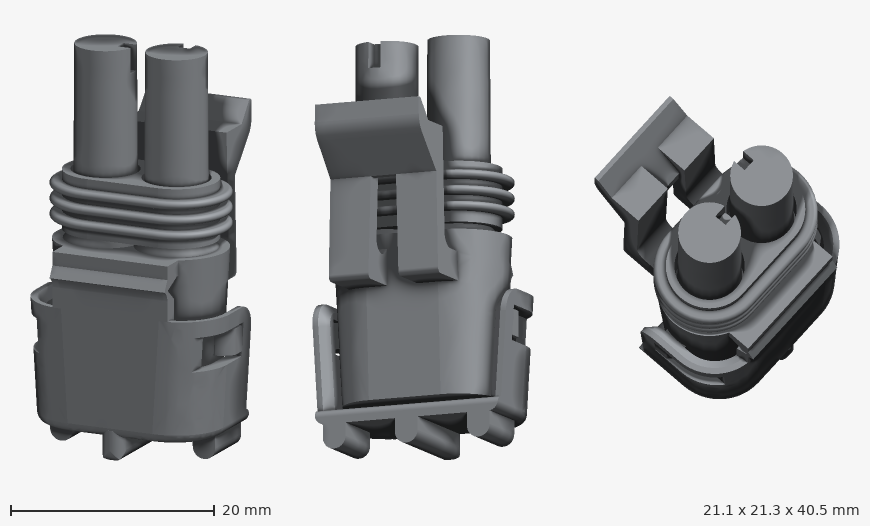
import cadquery as cq

TOTAL_HEIGHT = 40.5
TOWER_X = 3.85
TOWER_TOP_RADIUS = 3.08
TOWER_BASE_RADIUS = 3.2
KEYWAY_WIDTH = 1.35
KEYWAY_OFFSET = 1.6
KEYWAY_DEPTH = 2.65

BODY_TOP_Z = 20.75
BODY_BOTTOM_Z = 4.45
BODY_TOP_RADIUS = 5.25
BODY_BOTTOM_RADIUS = 4.37
CONE_BASE_RADIUS = 4.2
CONE_HEIGHT = 1.15

SEAL_BOTTOM_Z = 21.62
SEAL_HEIGHT = 6.07
SEAL_RADIUS = 4.3
SEAL_HOLE_RADIUS = 3.45
RIB_RADIUS = 5.5
RIB_THICKNESS = 0.8
RIB_COUNT = 3
RIB_PITCH = 1.58
FIRST_RIB_Z = 23.1

LATCH_BOTTOM_Z = 15.6
LATCH_TIP_Y = 13.52
LATCH_TIP_Z = 32.47
LATCH_TIP_FLAT = 0.5
LATCH_SHOULDER_Y = 11.25
LATCH_SHOULDER_Z = 30.5
ARM_INNER_Y = 7.77
ARM_OUTER_Y = 9.5
ARM_SLOPE_Z = 25.7
ARM_ROOT_Y = 2.02
GROOVE_RADIUS = 1.38
GROOVE_CENTER_Z = 19.9
LATCH_HEEL_ROUND = 0.55
GROOVE_ROUND_HALF_WIDTH = 4.0
LATCH_CHIN_ROUND = 2.43
LATCH_BOTTOM_HALF_WIDTH = 5.87
LATCH_TOP_HALF_WIDTH = 5.55
LATCH_GAP_BOTTOM_HALF_WIDTH = 1.6
LATCH_GAP_TOP_HALF_WIDTH = 1.17
BRIDGE_INNER_Y = 8.5

FRONT_Y = -7.15
RIM_Z = 15.05
CUP_BOTTOM_Z = 2.5
FLOOR_Z = 3.95
CUP_TOP_HALF_WIDTH = 10.53
CUP_BOTTOM_HALF_WIDTH = 9.75
SIDE_TAPER = (CUP_TOP_HALF_WIDTH - CUP_BOTTOM_HALF_WIDTH) / (RIM_Z - CUP_BOTTOM_Z)
CUP_CORNER_RADIUS = 5.22
CUP_WALL = 1.5
RIM_WALL = 0.6
EDGE_TOLERANCE = 0.01
CUP_BACK_Y = 3.28
LIP_BACK_Y = 4.0
LIP_ROUND = LIP_BACK_Y - CUP_BACK_Y
RIM_BACK_RADIUS = 2.5
ARCH_Z = RIM_Z - RIM_BACK_RADIUS
CUP_BOTTOM_FILLET = 0.97

HINGE_Z = 18.22
HINGE_TIP_Y = -7.8
HINGE_THIN_Y = -7.1
HINGE_HALF_HEIGHT = 1.15
HINGE_HALF_WIDTH = 6.25
HINGE_SAG = 0.15
HINGE_TIP_DEPTH = 0.9
FLAP_ROOT_INSET = 0.12
SHELF_ROOT_Y = -5.02
SHELF_BOTTOM_Z = 19.15

WINDOW_BOTTOM_Z = 9.88
WINDOW_TOP_Z = 13.4
WINDOW_BACK_Y = 1.45
WINDOW_FRONT_Y = -6.1
WINDOW_FLOOR_X = 8.4
SNAP_BOTTOM_Z = 10.4
SNAP_TOP_Z = 13.05
SNAP_X = 10.25
SNAP_FRONT_Y = -1.15
SNAP_CURVE_X = 8.55
SNAP_CURVE_RADIUS = 2.9

FOOT_WIDTH = 2.43
FOOT_X = 7.75
FOOT_ROUND = 1.17

SIDES = (-1, 1)
FAR = 24.3


def stadium(radius, z):
    """Flat outline around both tower axes."""
    return cq.Workplane("XY").workplane(offset=z).slot2D(2 * (TOWER_X + radius), 2 * radius)


def box(x_min, x_max, y_min, y_max, z_min, z_max):
    size = (x_max - x_min, y_max - y_min, z_max - z_min)
    return cq.Workplane("XY").box(*size, centered=False).translate((x_min, y_min, z_min))


def mirrored(shape, side):
    """The shape itself for the +X side, or its mirror image for the -X side."""
    return shape if side > 0 else shape.mirror("YZ")


def across(profile, half_width):
    """Extrude a Y-Z profile to both sides of the middle plane."""
    return profile.extrude(half_width, both=True)



def housing_body():
    lower = stadium(BODY_BOTTOM_RADIUS, BODY_BOTTOM_Z).wires().val()
    upper = stadium(BODY_TOP_RADIUS, BODY_TOP_Z).wires().val()
    return cq.Workplane(cq.Solid.makeLoft([lower, upper], True))


def tower(x, keyway_angle):
    """A slightly tapered tower on a cone, with a keyway in its tip."""
    profile = [
        (0, BODY_TOP_Z),
        (CONE_BASE_RADIUS, BODY_TOP_Z),
        (TOWER_BASE_RADIUS, BODY_TOP_Z + CONE_HEIGHT),
        (TOWER_TOP_RADIUS, TOTAL_HEIGHT),
        (0, TOTAL_HEIGHT),
    ]
    post = cq.Workplane("XZ").polyline(profile).close().revolve(360, (0, 0, 0), (0, 1, 0))
    keyway = box(
        KEYWAY_OFFSET, FAR, -KEYWAY_WIDTH / 2, KEYWAY_WIDTH / 2, TOTAL_HEIGHT - KEYWAY_DEPTH, TOTAL_HEIGHT
    ).rotate((0, 0, 0), (0, 0, 1), keyway_angle)
    return post.cut(keyway).translate((x, 0, 0))


def trapezoid_along_y(bottom_half_width, top_half_width):
    """A long prism along Y whose width changes over the height of the latch."""
    return (
        cq.Workplane("XZ")
        .polyline([
            (-bottom_half_width, LATCH_BOTTOM_Z),
            (bottom_half_width, LATCH_BOTTOM_Z),
            (top_half_width, LATCH_TIP_Z),
            (-top_half_width, LATCH_TIP_Z),
        ])
        .close()
        .extrude(-FAR)
    )


def latch():
    """Two hooked arms joined by a sloping bridge at the thumb tab."""
    groove_y = ARM_INNER_Y - GROOVE_RADIUS
    chin_z = ARM_SLOPE_Z + LATCH_TIP_Y - ARM_OUTER_Y
    tip_flat_y = LATCH_TIP_Y - LATCH_TIP_FLAT
    slope = (LATCH_TIP_Z - LATCH_SHOULDER_Z) / (tip_flat_y - LATCH_SHOULDER_Y)
    bridge_z = LATCH_SHOULDER_Z - slope * (LATCH_SHOULDER_Y - BRIDGE_INNER_Y)

    arms = across(
        cq.Workplane("YZ")
        .moveTo(ARM_ROOT_Y, LATCH_BOTTOM_Z)
        .lineTo(ARM_OUTER_Y, LATCH_BOTTOM_Z)
        .lineTo(ARM_OUTER_Y, ARM_SLOPE_Z)
        .lineTo(LATCH_TIP_Y, chin_z)
        .lineTo(LATCH_TIP_Y, LATCH_TIP_Z)
        .lineTo(tip_flat_y, LATCH_TIP_Z)
        .lineTo(LATCH_SHOULDER_Y, LATCH_SHOULDER_Z)
        .lineTo(ARM_INNER_Y, LATCH_SHOULDER_Z)
        .lineTo(ARM_INNER_Y, GROOVE_CENTER_Z)
        .radiusArc((groove_y - GROOVE_RADIUS, GROOVE_CENTER_Z), GROOVE_RADIUS)
        .lineTo(ARM_ROOT_Y, GROOVE_CENTER_Z)
        .close(),
        LATCH_BOTTOM_HALF_WIDTH,
    )
    heel = cq.NearestToPointSelector((0, ARM_OUTER_Y, LATCH_BOTTOM_Z))
    arms = arms.edges(heel).fillet(LATCH_HEEL_ROUND)
    chin = cq.NearestToPointSelector((0, LATCH_TIP_Y, chin_z))
    arms = arms.edges(chin).fillet(LATCH_CHIN_ROUND)
    arms = arms.intersect(trapezoid_along_y(LATCH_BOTTOM_HALF_WIDTH, LATCH_TOP_HALF_WIDTH))

    bridge = across(
        cq.Workplane("YZ").polyline([
            (BRIDGE_INNER_Y, ARM_SLOPE_Z),
            (FAR, ARM_SLOPE_Z),
            (FAR, LATCH_TIP_Z),
            (tip_flat_y, LATCH_TIP_Z),
            (BRIDGE_INNER_Y, bridge_z),
        ]).close(),
        FAR,
    )
    gap = trapezoid_along_y(LATCH_GAP_BOTTOM_HALF_WIDTH, LATCH_GAP_TOP_HALF_WIDTH).cut(bridge)
    arms = arms.cut(gap)

    for side in SIDES:
        flat_floor = box(
            GROOVE_ROUND_HALF_WIDTH, FAR, 0, groove_y, GROOVE_CENTER_Z - GROOVE_RADIUS, TOTAL_HEIGHT
        )
        arms = arms.cut(mirrored(flat_floor, side))
    return arms


def hinge_shelf():
    """Shelf on the front of the body, ending in the upper half of the hinge."""
    return across(
        cq.Workplane("YZ").polyline([
            (0, BODY_TOP_Z),
            (FRONT_Y, BODY_TOP_Z),
            (FRONT_Y, HINGE_Z + HINGE_HALF_HEIGHT),
            (HINGE_TIP_Y, HINGE_Z),
            (HINGE_THIN_Y, HINGE_Z),
            (SHELF_ROOT_Y, SHELF_BOTTOM_Z),
            (0, SHELF_BOTTOM_Z),
        ]).close(),
        HINGE_HALF_WIDTH,
    )


def snap_block(side):
    """Block with a curved front corner that fills the back of a cover window."""
    block = (
        cq.Workplane("XY")
        .workplane(offset=SNAP_BOTTOM_Z)
        .moveTo(TOWER_X, WINDOW_BACK_Y)
        .lineTo(TOWER_X, SNAP_FRONT_Y)
        .lineTo(SNAP_CURVE_X, SNAP_FRONT_Y)
        .radiusArc((SNAP_X, 0), -SNAP_CURVE_RADIUS)
        .lineTo(SNAP_X, WINDOW_BACK_Y)
        .close()
        .extrude(SNAP_TOP_Z - SNAP_BOTTOM_Z)
    )
    return mirrored(block, side)


def make_housing():
    housing = housing_body().union(latch()).union(hinge_shelf())
    housing = housing.union(tower(-TOWER_X, 0)).union(tower(TOWER_X, 90))
    for side in SIDES:
        housing = housing.union(snap_block(side))
    return housing



def seal_rib(z):
    """Flat band around the seal with a fully rounded edge."""
    round_radius = RIB_THICKNESS / 2
    core_radius = RIB_RADIUS - round_radius
    core = stadium(core_radius, z - round_radius).extrude(RIB_THICKNESS)
    path = stadium(core_radius, z)
    edge_section = cq.Workplane("YZ").center(core_radius, z).circle(round_radius)
    return core.union(edge_section.sweep(path))


def make_seal():
    seal = stadium(SEAL_RADIUS, SEAL_BOTTOM_Z).extrude(SEAL_HEIGHT)
    for index in range(RIB_COUNT):
        seal = seal.union(seal_rib(FIRST_RIB_Z + index * RIB_PITCH))
    holes = (
        cq.Workplane("XY")
        .workplane(offset=SEAL_BOTTOM_Z)
        .pushPoints([(side * TOWER_X, 0) for side in SIDES])
        .circle(SEAL_HOLE_RADIUS)
        .extrude(SEAL_HEIGHT)
    )
    return seal.cut(holes)



def cup_outline(z, inset):
    """U-shaped outline, open to the back, set in from the outside of the cup at height z."""
    half_width = CUP_TOP_HALF_WIDTH - (RIM_Z - z) * SIDE_TAPER - inset
    front_y = FRONT_Y + inset
    radius = CUP_CORNER_RADIUS - inset
    center_x = half_width - radius
    return (
        cq.Workplane("XY")
        .workplane(offset=z)
        .moveTo(half_width, FAR)
        .lineTo(half_width, front_y + radius)
        .radiusArc((center_x, front_y), radius)
        .lineTo(-center_x, front_y)
        .radiusArc((-half_width, front_y + radius), radius)
        .lineTo(-half_width, FAR)
        .close()
        .wires()
        .val()
    )


def cup_loft(bottom_z, bottom_inset, top_z, top_inset):
    outlines = [cup_outline(bottom_z, bottom_inset), cup_outline(top_z, top_inset)]
    return cq.Workplane(cq.Solid.makeLoft(outlines, True))


def cup():
    """Open-backed cup with tapered sides, a lip on its floor and a flared rim."""
    side_shape = across(
        cq.Workplane("YZ")
        .moveTo(FRONT_Y, CUP_BOTTOM_Z)
        .lineTo(LIP_BACK_Y, CUP_BOTTOM_Z)
        .lineTo(LIP_BACK_Y, FLOOR_Z - LIP_ROUND)
        .radiusArc((CUP_BACK_Y, FLOOR_Z), -LIP_ROUND)
        .lineTo(CUP_BACK_Y, ARCH_Z)
        .radiusArc((CUP_BACK_Y - RIM_BACK_RADIUS, RIM_Z), -RIM_BACK_RADIUS)
        .lineTo(FRONT_Y, RIM_Z)
        .close(),
        FAR,
    )
    body = cup_loft(CUP_BOTTOM_Z, 0, RIM_Z, 0).intersect(side_shape)
    body = body.faces("<Z").edges("not >Y").fillet(CUP_BOTTOM_FILLET)
    cavity = cup_loft(FLOOR_Z, CUP_WALL, RIM_Z, CUP_WALL)
    body = body.cut(cavity)
    upper_edges = body.edges(cq.selectors.BoxSelector((-FAR, -FAR, ARCH_Z), (FAR, FAR, FAR)))
    inner_edges = upper_edges.filter(lambda edge: cavity.val().isInside(edge.positionAt(0.5), EDGE_TOLERANCE))
    return inner_edges.chamfer(CUP_WALL - RIM_WALL)


def hinge_flap():
    """Thick flap rising from the front wall to the lower half of the hinge."""
    inner_y = FRONT_Y + CUP_WALL
    curve_z = HINGE_Z - HINGE_HALF_HEIGHT
    flap = across(
        cq.Workplane("YZ")
        .moveTo(inner_y, RIM_Z)
        .lineTo(FRONT_Y, RIM_Z)
        .lineTo(FRONT_Y, curve_z)
        .threePointArc((FRONT_Y - HINGE_SAG, HINGE_Z - HINGE_TIP_DEPTH / 2), (HINGE_TIP_Y, HINGE_Z))
        .lineTo(HINGE_THIN_Y, HINGE_Z)
        .lineTo(inner_y, curve_z)
        .close(),
        HINGE_HALF_WIDTH,
    )
    root = box(
        -HINGE_HALF_WIDTH, HINGE_HALF_WIDTH, FRONT_Y + FLAP_ROOT_INSET, inner_y,
        RIM_Z - CUP_WALL, RIM_Z,
    )
    return flap.union(root)


def window(side):
    """Pocket that breaks through the side wall and runs out in the rounded corner."""
    floor_lean = SIDE_TAPER * (WINDOW_TOP_Z - WINDOW_BOTTOM_Z) / 2
    pocket = (
        cq.Workplane("XZ", origin=(0, WINDOW_BACK_Y, 0))
        .polyline([
            (WINDOW_FLOOR_X - floor_lean, WINDOW_BOTTOM_Z),
            (FAR, WINDOW_BOTTOM_Z),
            (FAR, WINDOW_TOP_Z),
            (WINDOW_FLOOR_X + floor_lean, WINDOW_TOP_Z),
        ])
        .close()
        .extrude(WINDOW_BACK_Y - WINDOW_FRONT_Y)
    )
    return mirrored(pocket, side)


def foot(front_y):
    """Bar along Y under the cup with a fully rounded underside."""
    bar = box(-FOOT_WIDTH / 2, FOOT_WIDTH / 2, front_y, LIP_BACK_Y, 0, FLOOR_Z - LIP_ROUND)
    return bar.edges("|Y and <Z").fillet(FOOT_ROUND)


def middle_foot():
    """Foot reaching the front wall, with its nose rounded in plan and towards the bottom."""
    bar = foot(FRONT_Y)
    nose = box(-FOOT_WIDTH / 2, FOOT_WIDTH / 2, FRONT_Y, LIP_BACK_Y, 0, FLOOR_Z)
    rounded_in_plan = nose.edges("|Z and <Y").fillet(FOOT_ROUND)
    rounded_below = nose.edges("|X and <Y and <Z").fillet(FOOT_ROUND)
    return bar.intersect(rounded_in_plan).intersect(rounded_below)


def make_cover():
    cover = cup().union(hinge_flap()).union(middle_foot())
    side_foot = foot(FRONT_Y + CUP_CORNER_RADIUS)
    for side in SIDES:
        cover = cover.cut(window(side))
        cover = cover.union(side_foot.translate((side * FOOT_X, 0, 0)))
    return cover


housing = make_housing()
seal = make_seal()
cover = make_cover()

result = cq.Compound.makeCompound([housing.val(), seal.val(), cover.val()])